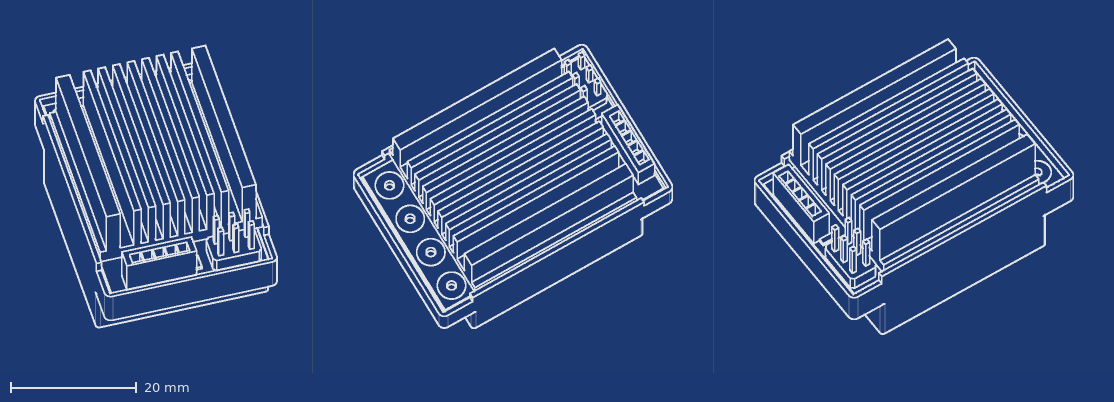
import cadquery as cq

LENGTH = 43.0
WIDTH = 28.5
TRUNK_LENGTH = 31.65
TRUNK_CORNER = 0.6
FLANGE_CORNER = 1.08
FLANGE_BOTTOM = 8.25
RIM_TOP = 14.25
SIDE_WALL_TOP = 16.15
POCKET_LENGTH = 41.55
POCKET_WIDTH = 26.85

BOARD_LENGTH = 40.35
BOARD_WIDTH = 25.95
BOARD_THICKNESS = 1.6
BOARD_DEPTH = 1.05

PAD_DIAMETER = 4.5
PAD_HEIGHT = 0.1
PAD_HOLE_DIAMETER = 1.5
PAD_COUNT = 4
PAD_PITCH = 6.5
PAD_ROW_X = -17.2
PAD_ROW_Y = -0.2

HEADER_X = 17.55
HEADER_Y = 7.95
HEADER_LENGTH = 5.0
HEADER_WIDTH = 8.0
HEADER_TOP = 15.75
HEADER_CHAMFER = 0.5
PIN_SIZE = 0.77
PIN_PITCH = 2.55
PIN_COLUMNS = 2
PIN_ROWS = 3
PIN_TOP = 21.7

SOCKET_BLOCK_X = 18.55
SOCKET_BLOCK_Y = -4.65
SOCKET_BLOCK_LENGTH = 3.0
SOCKET_BLOCK_WIDTH = 11.52
SOCKET_BLOCK_TOP = 19.2
SOCKET_SIZE = 1.7
SOCKET_DEPTH = 4.3
SOCKET_COUNT = 5
SOCKET_PITCH = 1.95
SOCKET_OFFSET_X = 0.2

CHIP_X = 17.75
CHIP_Y = 1.75
CHIP_LENGTH = 2.5
CHIP_WIDTH = 1.08
CHIP_HEIGHT = 0.5

SINK_LENGTH = 29.85
SINK_BOTTOM = 15.25
SINK_BASE_TOP = 17.67
SINK_TOP = 26.2
FIN_THICKNESS = 1.2
FIN_PITCH = 2 * FIN_THICKNESS
FIN_COUNT = 7
OUTER_FIN_THICKNESS = 2.3
OUTER_FIN_Y = 11.22

BOARD_TOP = RIM_TOP - BOARD_DEPTH
BOARD_BOTTOM = BOARD_TOP - BOARD_THICKNESS


def block(length, width, bottom, top, x=0, y=0):
    """Upright rectangular block centred on (x, y) between two heights."""
    return cq.Workplane("XY", origin=(x, y, bottom)).rect(length, width).extrude(top - bottom)


def row_positions(count, pitch, middle=0):
    """Evenly spaced coordinates, centred on middle."""
    return [middle + (i - (count - 1) / 2) * pitch for i in range(count)]


def make_housing():
    """Trunk with a longer flange, raised side walls and a board pocket."""
    trunk = block(TRUNK_LENGTH, WIDTH, 0, FLANGE_BOTTOM).edges("|Z").fillet(TRUNK_CORNER)
    flange = block(LENGTH, WIDTH, FLANGE_BOTTOM, RIM_TOP).edges("|Z").fillet(FLANGE_CORNER)
    side_walls = block(TRUNK_LENGTH, WIDTH, RIM_TOP, SIDE_WALL_TOP)
    pocket = block(POCKET_LENGTH, POCKET_WIDTH, BOARD_BOTTOM, SIDE_WALL_TOP)
    return trunk.union(flange).union(side_walls).cut(pocket)


def make_pin_header():
    """Chamfered header body carrying a grid of square pins."""
    header = block(HEADER_LENGTH, HEADER_WIDTH, BOARD_TOP, HEADER_TOP, HEADER_X, HEADER_Y)
    header = header.edges("|Z").chamfer(HEADER_CHAMFER)
    for x in row_positions(PIN_COLUMNS, PIN_PITCH, HEADER_X):
        for y in row_positions(PIN_ROWS, PIN_PITCH, HEADER_Y):
            header = header.union(block(PIN_SIZE, PIN_SIZE, HEADER_TOP, PIN_TOP, x, y))
    return header


def make_socket_block():
    """Tall connector with one row of square blind sockets in its top."""
    connector = block(
        SOCKET_BLOCK_LENGTH, SOCKET_BLOCK_WIDTH, BOARD_TOP, SOCKET_BLOCK_TOP, SOCKET_BLOCK_X, SOCKET_BLOCK_Y
    )
    socket_bottom = SOCKET_BLOCK_TOP - SOCKET_DEPTH
    socket_x = SOCKET_BLOCK_X + SOCKET_OFFSET_X
    for y in row_positions(SOCKET_COUNT, SOCKET_PITCH, SOCKET_BLOCK_Y):
        connector = connector.cut(
            block(SOCKET_SIZE, SOCKET_SIZE, socket_bottom, SOCKET_BLOCK_TOP, socket_x, y)
        )
    return connector


def make_board():
    """Circuit board with its connectors, chip and drilled round pads."""
    board = block(BOARD_LENGTH, BOARD_WIDTH, BOARD_BOTTOM, BOARD_TOP)
    chip = block(CHIP_LENGTH, CHIP_WIDTH, BOARD_TOP, BOARD_TOP + CHIP_HEIGHT, CHIP_X, CHIP_Y)
    board = board.union(make_pin_header()).union(make_socket_block()).union(chip)

    pad_centres = [(PAD_ROW_X, y) for y in row_positions(PAD_COUNT, PAD_PITCH, PAD_ROW_Y)]
    pads = (
        cq.Workplane("XY", origin=(0, 0, BOARD_TOP))
        .pushPoints(pad_centres)
        .circle(PAD_DIAMETER / 2)
        .extrude(PAD_HEIGHT)
    )
    pad_holes = (
        cq.Workplane("XY", origin=(0, 0, BOARD_BOTTOM))
        .pushPoints(pad_centres)
        .circle(PAD_HOLE_DIAMETER / 2)
        .extrude(BOARD_THICKNESS + PAD_HEIGHT)
    )
    return board.union(pads).cut(pad_holes)


def make_heat_sink():
    """Base plate held between the side walls, with fins running along X."""
    sink = block(SINK_LENGTH, POCKET_WIDTH, SINK_BOTTOM, SINK_BASE_TOP)
    for y in row_positions(FIN_COUNT, FIN_PITCH):
        sink = sink.union(block(SINK_LENGTH, FIN_THICKNESS, SINK_BASE_TOP, SINK_TOP, y=y))
    for y in (-OUTER_FIN_Y, OUTER_FIN_Y):
        sink = sink.union(block(SINK_LENGTH, OUTER_FIN_THICKNESS, SINK_BASE_TOP, SINK_TOP, y=y))
    return sink


housing = make_housing()
board = make_board()
heat_sink = make_heat_sink()

result = cq.Compound.makeCompound([housing.val(), board.val(), heat_sink.val()])